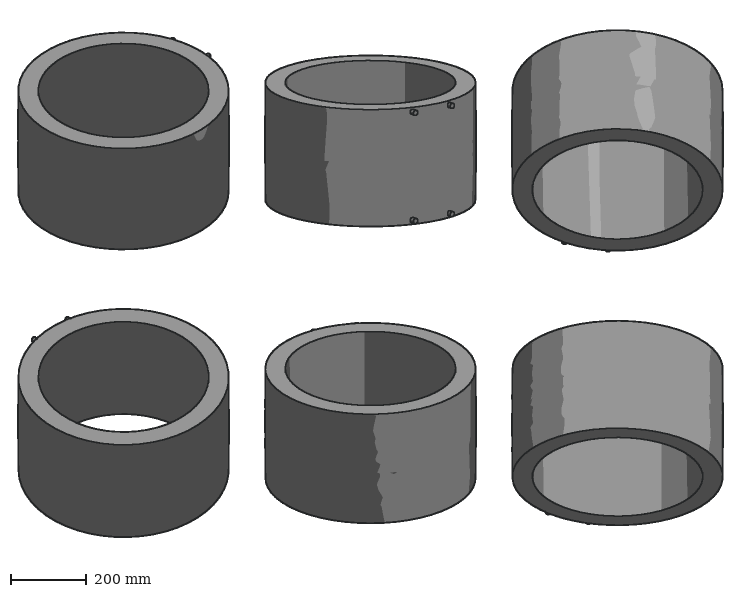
import cadquery as cq
import math

drum_length = 320.0
bore_diameter = 450.0
band_diameter = 558.0
end_diameter = 556.0
band_width = 26.0

pin_diameter = 14.0
pin_spacing = 120.0
pin_end_inset = 12.0
pin_tip_y = 285.0
pin_root_y = 260.0


def make_drum():
    """Ring with a straight middle band and sides that curve in to both ends."""
    half_length = drum_length / 2
    half_band = band_width / 2
    bore_radius = bore_diameter / 2
    band_radius = band_diameter / 2
    end_radius = end_diameter / 2

    side_length = half_length - half_band
    side_drop = band_radius - end_radius
    side_arc_radius = (side_length**2 + side_drop**2) / (2 * side_drop)
    arc_middle_z = half_band + side_length / 2
    arc_middle_drop = side_arc_radius - math.sqrt(side_arc_radius**2 - (side_length / 2) ** 2)
    arc_middle_radius = band_radius - arc_middle_drop

    return (
        cq.Workplane("XZ")
        .moveTo(-bore_radius, -half_length)
        .lineTo(-end_radius, -half_length)
        .threePointArc((-arc_middle_radius, -arc_middle_z), (-band_radius, -half_band))
        .lineTo(-band_radius, half_band)
        .threePointArc((-arc_middle_radius, arc_middle_z), (-end_radius, half_length))
        .lineTo(-bore_radius, half_length)
        .close()
        .revolve(360, (0, 0, 0), (0, 1, 0))
    )


def make_pins():
    """Four pins along Y, at the corners of a rectangle in X and Z."""
    row_spacing = drum_length - 2 * pin_end_inset
    return (
        cq.Workplane("XZ", origin=(0, pin_tip_y, 0))
        .rarray(pin_spacing, row_spacing, 2, 2)
        .circle(pin_diameter / 2)
        .extrude(pin_tip_y - pin_root_y)
    )


result = make_drum().union(make_pins())